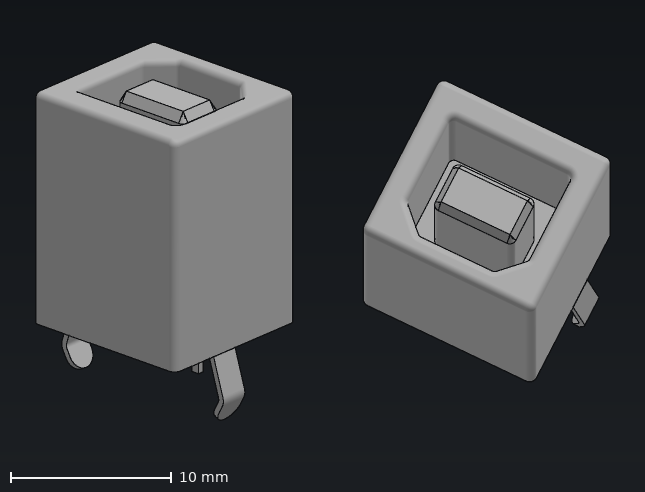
import cadquery as cq
import math

OVERALL_X = 13.6
OVERALL_Z = 20.25

BODY_X = 12.0
BODY_Y = 11.2
BODY_Z = 15.7
EDGE_RADIUS = 0.5

OPENING_HALF_X = 4.21
OPENING_FRONT_Y = -3.5
OPENING_BACK_Y = 4.2
OPENING_CUT = 1.6
OPENING_CORNER_RADIUS = 0.36
OPENING_DEPTH = 9.0

TONGUE_X = 5.59
TONGUE_Y = 3.26
TONGUE_CENTER_Y = 0.35
TONGUE_RECESS = 0.49
TONGUE_BEVEL_HEIGHT = 0.69
TONGUE_CORNER_RADIUS = 0.4

PIN_X = 0.59
PIN_Y = 0.45
PIN_LENGTH = 3.55
PIN_SPACING = 2.5
PIN_CENTER_Y = 1.7

CLIP_WIDTH = 2.0
CLIP_THICKNESS = 0.4
CLIP_CENTER_Y = -1.01
CLIP_LENGTH = OVERALL_Z - BODY_Z
CLIP_BEND_RADIUS = 0.8
CLIP_BEND_Z = -2.8
UPPER_ANGLE = 17.0
LOWER_ANGLE = 28.0


def make_opening():
    """Straight-walled cavity cut down from the top face."""
    cut_x = OPENING_HALF_X - OPENING_CUT
    cut_y = OPENING_BACK_Y - OPENING_CUT
    outline = [
        (-OPENING_HALF_X, OPENING_FRONT_Y),
        (OPENING_HALF_X, OPENING_FRONT_Y),
        (OPENING_HALF_X, cut_y),
        (cut_x, OPENING_BACK_Y),
        (-cut_x, OPENING_BACK_Y),
        (-OPENING_HALF_X, cut_y),
    ]
    cavity = cq.Workplane("XY").workplane(offset=BODY_Z - OPENING_DEPTH).polyline(outline).close()
    return cavity.extrude(OPENING_DEPTH).edges("|Z").fillet(OPENING_CORNER_RADIUS)


def make_shell():
    """Box with rounded upright and top edges, and a rounded lip around the opening."""
    box = cq.Workplane("XY").box(BODY_X, BODY_Y, BODY_Z, centered=(True, True, False))
    rounded_box = box.edges("|Z or >Z").fillet(EDGE_RADIUS)
    shell = rounded_box.cut(make_opening())
    lip = shell.faces(">Z").wires(cq.selectors.LengthNthSelector(0)).edges()
    return lip.fillet(EDGE_RADIUS)


def make_tongue():
    """Rounded bar whose bevelled tip ends in a sharp-cornered rectangle."""
    bar_height = OPENING_DEPTH - TONGUE_RECESS - TONGUE_BEVEL_HEIGHT
    bevel_angle = math.degrees(math.atan2(TONGUE_CORNER_RADIUS, TONGUE_BEVEL_HEIGHT))
    bar = (
        cq.Workplane("XY", origin=(0, TONGUE_CENTER_Y, BODY_Z - OPENING_DEPTH))
        .rect(TONGUE_X, TONGUE_Y)
        .extrude(bar_height)
        .edges("|Z")
        .fillet(TONGUE_CORNER_RADIUS)
    )
    tip = bar.faces(">Z").wires().toPending().workplane().extrude(
        TONGUE_BEVEL_HEIGHT, taper=bevel_angle, combine=False
    )
    return bar.union(tip)


def make_pin(center_x):
    pin = cq.Workplane("XY", origin=(center_x, PIN_CENTER_Y, 0)).rect(PIN_X, PIN_Y)
    return pin.extrude(-PIN_LENGTH)


def make_clip():
    """Clip on the +X side: a bent strip with a fully rounded end."""
    upper = math.radians(UPPER_ANGLE)
    lower = math.radians(LOWER_ANGLE)
    outer = CLIP_BEND_RADIUS
    inner = CLIP_BEND_RADIUS - CLIP_THICKNESS
    bend_x = OVERALL_X / 2 - CLIP_BEND_RADIUS
    end_radius = CLIP_WIDTH / 2
    outer_arm_drop = CLIP_LENGTH + CLIP_BEND_Z - outer * math.sin(lower)
    straight = outer_arm_drop / math.cos(lower) - end_radius

    def on_bend(radius, angle):
        return bend_x + radius * math.cos(angle), CLIP_BEND_Z + radius * math.sin(angle)

    def at_root(radius):
        return bend_x + (radius + CLIP_BEND_Z * math.sin(upper)) / math.cos(upper), 0

    def at_end(radius):
        x, z = on_bend(radius, -lower)
        return x - straight * math.sin(lower), z - straight * math.cos(lower)

    strip = (
        cq.Workplane("XZ", origin=(0, CLIP_CENTER_Y, 0))
        .moveTo(*at_root(outer))
        .lineTo(*on_bend(outer, upper))
        .threePointArc(on_bend(outer, 0), on_bend(outer, -lower))
        .lineTo(*at_end(outer))
        .lineTo(*at_end(inner))
        .lineTo(*on_bend(inner, -lower))
        .threePointArc(on_bend(inner, 0), on_bend(inner, upper))
        .lineTo(*at_root(inner))
        .close()
        .extrude(end_radius, both=True)
    )
    end_x, end_z = at_end(inner)
    end_plane = cq.Plane(
        origin=(end_x, CLIP_CENTER_Y, end_z),
        xDir=(0, 1, 0),
        normal=(math.cos(lower), 0, -math.sin(lower)),
    )
    rounded_end = (
        cq.Workplane(end_plane)
        .moveTo(-end_radius, 0)
        .threePointArc((0, -end_radius), (end_radius, 0))
        .close()
        .extrude(CLIP_THICKNESS)
    )
    return strip.union(rounded_end)


result = make_shell().union(make_tongue())
for side in (-1, 1):
    result = result.union(make_pin(side * PIN_SPACING / 2))
clip = make_clip()
result = result.union(clip).union(clip.mirror("YZ"))